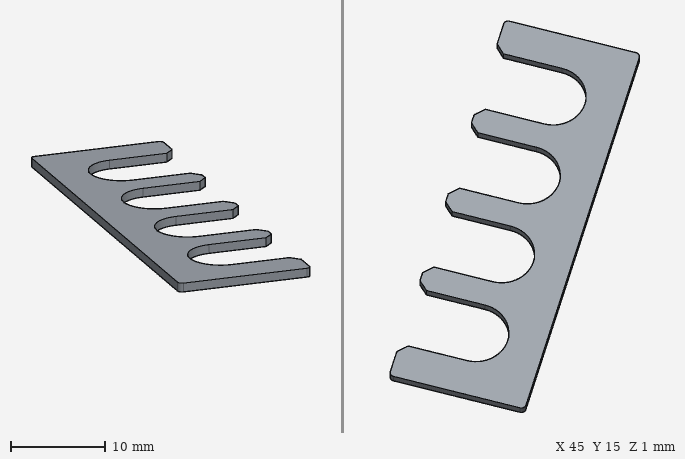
import cadquery as cq

length = 45.0
width = length / 3
thickness = length / 45
corner_radius = 0.5

slot_count = 4
slot_pitch = 10.0
slot_width = 7.0
slot_depth = 11.0
mouth_chamfer = 1.0

slot_radius = slot_width / 2
edge_y = width / 2
arc_center_y = edge_y - slot_depth + slot_radius


def rounded_plate():
    return (
        cq.Workplane("XY")
        .box(length, width, thickness)
        .edges("|Z")
        .fillet(corner_radius)
    )


def slot_cutter(center_x):
    """Round-bottomed slot whose mouth widens at 45 degrees."""
    left = center_x - slot_radius
    right = center_x + slot_radius
    chamfer_y = edge_y - mouth_chamfer
    return (
        cq.Workplane("XY")
        .moveTo(left - mouth_chamfer, edge_y)
        .lineTo(left, chamfer_y)
        .lineTo(left, arc_center_y)
        .threePointArc((center_x, edge_y - slot_depth), (right, arc_center_y))
        .lineTo(right, chamfer_y)
        .lineTo(right + mouth_chamfer, edge_y)
        .close()
        .extrude(thickness, both=True)
    )


result = rounded_plate()
for index in range(slot_count):
    slot_x = (index - (slot_count - 1) / 2) * slot_pitch
    result = result.cut(slot_cutter(slot_x))